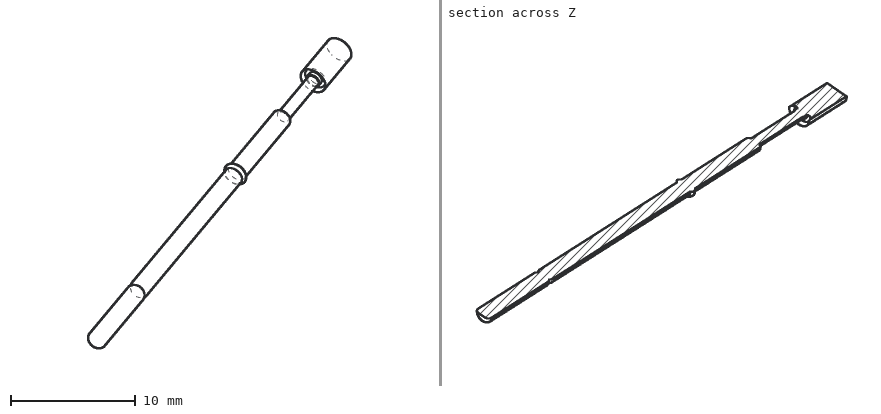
import cadquery as cq
import math

total_length = 39.5

head_radius = 1.15
head_length = 4.23
stem_radius = 0.5
collar_radius = 0.6

cup_floor_radius = 0.95
cup_depth = 0.4

barrel_radius = 0.8
barrel_length = 30.4
mouth_rounding = 0.25
tail_rounding = 0.4

ring_center = 22.7
ring_radius = 1.0
ring_half_width = 0.255

groove_center = 6.9
groove_half_width = 0.3
groove_depth = 0.15

head_back = total_length - head_length
tail_flat_radius = barrel_radius - tail_rounding
mouth_flat_radius = barrel_radius - mouth_rounding

tail_arc_reach = tail_rounding * math.sqrt(0.5)
mouth_arc_reach = mouth_rounding * math.sqrt(0.5)

lip_radius = (groove_half_width**2 + groove_depth**2) / (2 * groove_depth)
lip_half_angle = math.atan2(groove_depth, groove_half_width)
lip_mid_run = lip_radius * math.sin(lip_half_angle)
lip_mid_drop = lip_radius * (1 - math.cos(lip_half_angle))
groove_front = groove_center + groove_half_width
groove_back = groove_center - groove_half_width


def revolve_around_y(outline):
    """Spin a closed (radius, Y) outline around the Y axis."""
    return outline.close().revolve(360, (0, 0, 0), (0, 1, 0))


def make_barrel():
    outline = (
        cq.Workplane("XY")
        .lineTo(tail_flat_radius, 0)
        .threePointArc(
            (tail_flat_radius + tail_arc_reach, tail_rounding - tail_arc_reach),
            (barrel_radius, tail_rounding),
        )
        .lineTo(barrel_radius, groove_back)
        .threePointArc(
            (barrel_radius - lip_mid_drop, groove_back + lip_mid_run),
            (barrel_radius - groove_depth, groove_center),
        )
        .threePointArc(
            (barrel_radius - lip_mid_drop, groove_front - lip_mid_run),
            (barrel_radius, groove_front),
        )
        .lineTo(barrel_radius, ring_center - ring_half_width)
        .threePointArc((ring_radius, ring_center), (barrel_radius, ring_center + ring_half_width))
        .lineTo(barrel_radius, barrel_length - mouth_rounding)
        .threePointArc(
            (mouth_flat_radius + mouth_arc_reach, barrel_length - mouth_rounding + mouth_arc_reach),
            (mouth_flat_radius, barrel_length),
        )
        .lineTo(0, barrel_length)
    )
    return revolve_around_y(outline)


def make_plunger():
    outline = (
        cq.Workplane("XY")
        .moveTo(0, barrel_length)
        .lineTo(stem_radius, barrel_length)
        .lineTo(stem_radius, head_back)
        .lineTo(collar_radius, head_back)
        .lineTo(collar_radius, head_back + cup_depth)
        .lineTo(cup_floor_radius, head_back + cup_depth)
        .lineTo(head_radius, head_back)
        .lineTo(head_radius, total_length)
        .lineTo(0, total_length)
    )
    return revolve_around_y(outline)


result = make_barrel().union(make_plunger())